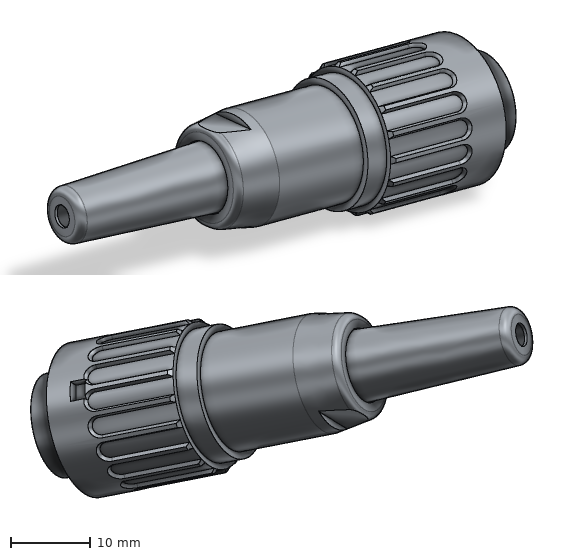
import cadquery as cq
import math

PLUG_FACE = 0.0
SLEEVE_FRONT = -4.1
SLEEVE_BACK = -22.2
COLLAR_BACK = -25.2
TAPER_START = -38.6
TAIL_ROOT = -41.5
BODY_BACK = -44.6
CABLE_END = -67.4

PLUG_DIAMETER = 13.5
SLEEVE_DIAMETER = 20.0
COLLAR_DIAMETER = 17.4
BODY_DIAMETER = 15.5
BODY_BACK_DIAMETER = 13.6
BODY_BACK_FILLET = 1.0
TAIL_ROOT_DIAMETER = 9.6
TAIL_END_DIAMETER = 7.5
TAIL_END_FILLET = 1.15

CABLE_HOLE_DIAMETER = 3.0
CAVITY_DIAMETER = 5.5
END_WALL = 0.4

FLAT_START = -40.05
ACROSS_FLATS = 13.1

FLUTE_COUNT = 18
FLUTE_DEPTH = 0.5
FLUTE_FLOOR_WIDTH = 2.25
FLUTE_FLOOR_FRONT = -9.85
FLUTE_WALL_ANGLE = 35.0
RIB_CHAMFER = FLUTE_DEPTH

NOTCH_FRONT = -7.55
NOTCH_BACK = -9.7
NOTCH_WIDTH = 2.65
NOTCH_FLOOR_DIAMETER = 17.1

CLEARANCE = 1.0


def cylinder(diameter, front, back):
    """Solid cylinder on the Y axis between two stations."""
    return cq.Workplane("XZ", origin=(0, front, 0)).circle(diameter / 2).extrude(front - back)


def cone(front_diameter, back_diameter, front, back):
    """Solid cone frustum on the Y axis between two stations."""
    outline = [(0, front), (front_diameter / 2, front), (back_diameter / 2, back), (0, back)]
    return cq.Workplane("XY").polyline(outline).close().revolve(360, (0, 0, 0), (0, 1, 0))


def make_sleeve():
    """Grip sleeve with flutes all around and one index notch."""
    sleeve = cylinder(SLEEVE_DIAMETER, SLEEVE_FRONT, SLEEVE_BACK)
    sleeve = sleeve.faces("<Y").chamfer(RIB_CHAMFER)
    flute_cutter = make_flute_cutter()
    for index in range(FLUTE_COUNT):
        angle = index * 360 / FLUTE_COUNT
        sleeve = sleeve.cut(flute_cutter.rotate((0, 0, 0), (0, 1, 0), angle))
    return sleeve.cut(make_notch_cutter())


def make_flute_cutter():
    """Arched pocket on the +Z side: walls lean outward, floor follows the sleeve's curve."""
    floor_radius = SLEEVE_DIAMETER / 2 - FLUTE_DEPTH
    half_width = FLUTE_FLOOR_WIDTH / 2
    floor_edge_height = math.sqrt(floor_radius**2 - half_width**2)
    arch_start = FLUTE_FLOOR_FRONT - half_width
    open_end = SLEEVE_BACK - CLEARANCE
    pocket = (
        cq.Workplane("XY", origin=(0, 0, floor_edge_height))
        .moveTo(-half_width, open_end)
        .lineTo(-half_width, arch_start)
        .threePointArc((0, FLUTE_FLOOR_FRONT), (half_width, arch_start))
        .lineTo(half_width, open_end)
        .close()
        .extrude(FLUTE_DEPTH + CLEARANCE, taper=-FLUTE_WALL_ANGLE)
    )
    return pocket.cut(cylinder(2 * floor_radius, PLUG_FACE, BODY_BACK))


def make_notch_cutter():
    """Rectangular pocket on the -X side that stops at the round notch floor."""
    reach = SLEEVE_DIAMETER / 2 + CLEARANCE
    block = cq.Workplane("XY").box(
        reach, NOTCH_FRONT - NOTCH_BACK, NOTCH_WIDTH, centered=(False, False, True)
    )
    block = block.translate((-reach, NOTCH_BACK, 0))
    return block.cut(cylinder(NOTCH_FLOOR_DIAMETER, PLUG_FACE, BODY_BACK))


def make_body():
    """Straight barrel and tapered end, bored at the back so the tail stands in a thin ring gap."""
    straight = cylinder(BODY_DIAMETER, COLLAR_BACK, TAPER_START)
    taper = cone(BODY_DIAMETER, BODY_BACK_DIAMETER, TAPER_START, BODY_BACK)
    taper = taper.faces("<Y").edges().fillet(BODY_BACK_FILLET)
    flat_cutter = cq.Workplane("XY").box(BODY_DIAMETER, FLAT_START - BODY_BACK, BODY_DIAMETER)
    flat_middle = (FLAT_START + BODY_BACK) / 2
    cutter_height = (ACROSS_FLATS + BODY_DIAMETER) / 2
    for side in (1, -1):
        taper = taper.cut(flat_cutter.translate((0, flat_middle, side * cutter_height)))
    tail_bore = cylinder(TAIL_ROOT_DIAMETER, TAIL_ROOT, BODY_BACK)
    return straight.union(taper).cut(tail_bore)


def make_tail():
    tail = cone(TAIL_ROOT_DIAMETER, TAIL_END_DIAMETER, TAIL_ROOT, CABLE_END)
    tail = tail.faces("<Y").edges().fillet(TAIL_END_FILLET)
    cavity = cylinder(CAVITY_DIAMETER, BODY_BACK, CABLE_END + END_WALL)
    cable_hole = cylinder(CABLE_HOLE_DIAMETER, BODY_BACK, CABLE_END)
    return tail.cut(cavity).cut(cable_hole)


plug = cylinder(PLUG_DIAMETER, PLUG_FACE, SLEEVE_FRONT)
collar = cylinder(COLLAR_DIAMETER, SLEEVE_BACK, COLLAR_BACK)
result = plug.union(make_sleeve()).union(collar).union(make_body()).union(make_tail())